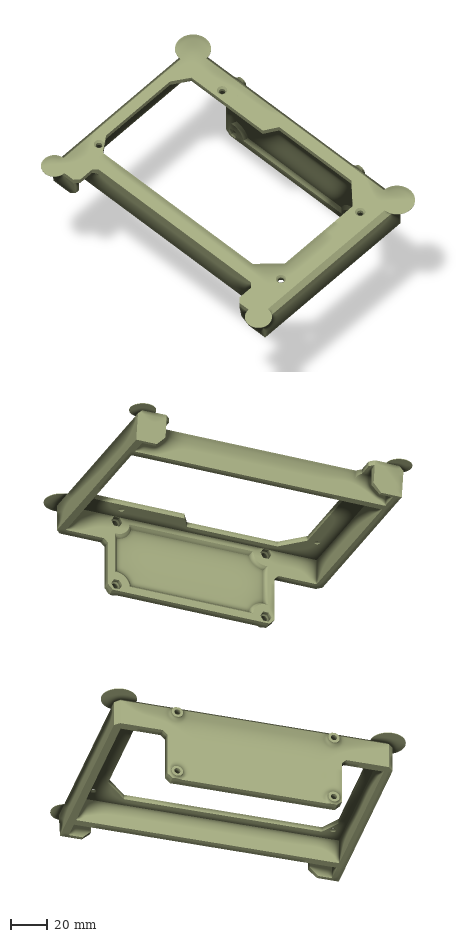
import cadquery as cq
import math


TOP_HALF_WIDTH = 77.27
TOP_LENGTH = 112.12
EDGE_CHAMFER = 2.85
BODY_HEIGHT = 18.4
PLATE_THICKNESS = 3.0
SIDE_WALL = 4.5
FRONT_WALL = 4.5
BODY_HALF_WIDTH = TOP_HALF_WIDTH + EDGE_CHAMFER
INNER_HALF_WIDTH = BODY_HALF_WIDTH - SIDE_WALL
REAR_FACE_Y = EDGE_CHAMFER
FRONT_FACE_Y = -TOP_LENGTH

NOTCH_FACE_Y = -97.3
LEG_EDGE_X = 60.3
LEG_CHAMFER = 2.7
LEG_UNDERCUT = 2.5
LEG_FRONT_WALL = 4.5
NOTCH_FILLET = 2.6
LEG_WALL_X = LEG_EDGE_X + LEG_UNDERCUT
LEG_FOOT_CHAMFER = 4.9
LEG_FRONT_LEAN = 2.4

WINDOW_LEFT = -70.9
WINDOW_RIGHT = 62.4
WINDOW_FRONT = -87.2
WINDOW_REAR = -7.4
WINDOW_REAR_LEFT = -15.4
LEFT_CORNER = (6.8, 10.1)
RIGHT_CORNER = (12.8, 12.6)
STEP_LEFT_X = -10.0
STEP_RIGHT_X = -5.0

HOLE_DIAMETER = 3.5
COUNTERSINK_DIAMETER = 5.7
COUNTERSINK_ANGLE = 90
PLATE_HOLES = [(-45.7, -10.2), (68.2, -20.0), (-69.7, -84.2), (68.2, -84.2)]

PANEL_BOTTOM_Z = -50.0
PANEL_HALF_WIDTH = 50.25
PANEL_THICKNESS = 5.0
PANEL_FLARE = 2.4
PANEL_CORNER = 3.0
PANEL_FACE_Y = REAR_FACE_Y - PANEL_THICKNESS
PANEL_HOLE_HALF_PITCH_X = 45.0
PANEL_HOLE_HALF_PITCH_Z = 20.0
PANEL_CENTRE_Z = -26.0
NUT_ACROSS_FLATS = 5.7
NUT_DEPTH = 2.5
POCKET_DEPTH = 2.0
POCKET_HALF_WIDTH = 46.1
POCKET_HALF_HEIGHT = 19.8
POCKET_CORNER_RADIUS = 7.75

BOSS_DIAMETER = 6.6
BOSS_HEIGHT = 2.1

DISC_THICKNESS = 0.3
REAR_DISC_RADIUS = 10.0
FRONT_DISC_RADIUS = 7.5


def box(x_range, y_range, z_range):
    """Axis-aligned box between pairs of limits."""
    size = [high - low for low, high in (x_range, y_range, z_range)]
    return cq.Workplane("XY").box(*size, centered=False).translate((x_range[0], y_range[0], z_range[0]))


def make_body():
    """Block with bevelled rear corners and upper side and rear edges, hollowed from below."""
    body = box((-BODY_HALF_WIDTH, BODY_HALF_WIDTH), (FRONT_FACE_Y, REAR_FACE_Y), (-BODY_HEIGHT, 0))
    body = body.faces(">Y").edges("|Z").chamfer(EDGE_CHAMFER)
    body = body.faces(">Z").edges("not <Y").chamfer(EDGE_CHAMFER)
    cavity = box(
        (-INNER_HALF_WIDTH, INNER_HALF_WIDTH),
        (NOTCH_FACE_Y + FRONT_WALL, PANEL_FACE_Y),
        (-BODY_HEIGHT, -PLATE_THICKNESS),
    )
    return body.cut(cavity)


def make_notch():
    """Full-height space between the legs, following the plate edge."""
    half = [
        (LEG_EDGE_X - LEG_CHAMFER, NOTCH_FACE_Y),
        (LEG_EDGE_X, NOTCH_FACE_Y - LEG_CHAMFER),
        (LEG_EDGE_X, FRONT_FACE_Y + LEG_CHAMFER),
        (LEG_EDGE_X + LEG_CHAMFER, FRONT_FACE_Y),
    ]
    mirrored = [(-x, y) for x, y in reversed(half)]
    return cq.Workplane("XY").polyline(half + mirrored).close().extrude(-BODY_HEIGHT)


def make_leg_pockets():
    """Space behind the leg fronts, open downward and rounded between notch wall and plate."""
    space = box(
        (-INNER_HALF_WIDTH, INNER_HALF_WIDTH),
        (FRONT_FACE_Y + LEG_FRONT_WALL, NOTCH_FACE_Y),
        (-BODY_HEIGHT, -PLATE_THICKNESS),
    )
    return space.faces(">Z").edges(">Y").fillet(NOTCH_FILLET)


def make_leg_gap():
    """Gap between the leg fronts below the plate, widened at their feet."""
    foot_x = LEG_WALL_X + LEG_FOOT_CHAMFER
    half = [
        (LEG_WALL_X, -PLATE_THICKNESS),
        (LEG_WALL_X, -BODY_HEIGHT + LEG_FOOT_CHAMFER),
        (foot_x, -BODY_HEIGHT),
    ]
    mirrored = [(-x, z) for x, z in reversed(half)]
    front = cq.Workplane("XZ", origin=(0, FRONT_FACE_Y, 0))
    return front.polyline(half + mirrored).close().extrude(-LEG_FRONT_WALL)


def make_front_lean():
    """Wedge that tilts the leg fronts below the plate."""
    profile = [
        (FRONT_FACE_Y, -PLATE_THICKNESS),
        (FRONT_FACE_Y, -BODY_HEIGHT),
        (FRONT_FACE_Y + LEG_FRONT_LEAN, -BODY_HEIGHT),
    ]
    return cq.Workplane("YZ").polyline(profile).close().extrude(BODY_HALF_WIDTH, both=True)


def make_window():
    """Opening in the plate with cut corners and a step in its rear side."""
    outline = [
        (WINDOW_LEFT, WINDOW_FRONT + LEFT_CORNER[1]),
        (WINDOW_LEFT + LEFT_CORNER[0], WINDOW_FRONT),
        (WINDOW_RIGHT - RIGHT_CORNER[0], WINDOW_FRONT),
        (WINDOW_RIGHT, WINDOW_FRONT + RIGHT_CORNER[1]),
        (WINDOW_RIGHT, WINDOW_REAR - RIGHT_CORNER[1]),
        (WINDOW_RIGHT - RIGHT_CORNER[0], WINDOW_REAR),
        (STEP_RIGHT_X, WINDOW_REAR),
        (STEP_LEFT_X, WINDOW_REAR_LEFT),
        (WINDOW_LEFT + LEFT_CORNER[0], WINDOW_REAR_LEFT),
        (WINDOW_LEFT, WINDOW_REAR_LEFT - LEFT_CORNER[1]),
    ]
    return cq.Workplane("XY").polyline(outline).close().extrude(-PLATE_THICKNESS)


def make_panel():
    """Plate hanging below the rear wall, flared into the body and cut at its lower corners."""
    half = [
        (PANEL_HALF_WIDTH + PANEL_FLARE, -BODY_HEIGHT),
        (PANEL_HALF_WIDTH, -BODY_HEIGHT - PANEL_FLARE),
        (PANEL_HALF_WIDTH, PANEL_BOTTOM_Z + PANEL_CORNER),
        (PANEL_HALF_WIDTH - PANEL_CORNER, PANEL_BOTTOM_Z),
    ]
    mirrored = [(-x, z) for x, z in reversed(half)]
    rear = cq.Workplane("XZ", origin=(0, REAR_FACE_Y, 0))
    return rear.polyline(half + mirrored).close().extrude(PANEL_THICKNESS)


def panel_hole_centres():
    """X and Z of the four panel holes."""
    signs = (-1, 1)
    return [
        (sx * PANEL_HOLE_HALF_PITCH_X, PANEL_CENTRE_Z + sz * PANEL_HOLE_HALF_PITCH_Z)
        for sx in signs
        for sz in signs
    ]


def make_pocket():
    """Shallow recess in the panel with sloping sides that leaves round pads at the holes."""
    panel_face = cq.Workplane("XZ", origin=(0, PANEL_FACE_Y, PANEL_CENTRE_Z))
    pocket = panel_face.rect(2 * POCKET_HALF_WIDTH, 2 * POCKET_HALF_HEIGHT).extrude(-POCKET_DEPTH, taper=45)
    for x, z in panel_hole_centres():
        pad = cq.Solid.makeCone(
            POCKET_CORNER_RADIUS,
            POCKET_CORNER_RADIUS + POCKET_DEPTH,
            POCKET_DEPTH,
            pnt=cq.Vector(x, PANEL_FACE_Y, z),
            dir=cq.Vector(0, 1, 0),
        )
        pocket = pocket.cut(cq.Workplane(pad))
    return pocket


def make_bosses():
    """Round bosses behind the panel holes, their flared feet trimmed to the flat rear face."""
    radius = BOSS_DIAMETER / 2
    foot_radius = radius + BOSS_HEIGHT
    middle = BOSS_HEIGHT * (1 - math.sqrt(0.5))
    profile = (
        cq.Workplane("XY")
        .lineTo(foot_radius, 0)
        .threePointArc((radius + middle, middle), (radius, BOSS_HEIGHT))
        .lineTo(0, BOSS_HEIGHT)
        .close()
    )
    boss = profile.revolve(360, (0, 0, 0), (0, 1, 0))
    flat_face = box(
        (-PANEL_HALF_WIDTH, PANEL_HALF_WIDTH),
        (REAR_FACE_Y, REAR_FACE_Y + BOSS_HEIGHT),
        (PANEL_BOTTOM_Z, -EDGE_CHAMFER),
    )
    flat_face = flat_face.faces("<Z").edges("|Y").chamfer(PANEL_CORNER)
    bosses = cq.Workplane("XY")
    for x, z in panel_hole_centres():
        bosses = bosses.add(boss.translate((x, REAR_FACE_Y, z)))
    return bosses.combine().intersect(flat_face)


def make_discs():
    """Thin discs flush with the top face, centred on its four outer corners."""
    discs = cq.Workplane("XY")
    for y, radius in ((0, REAR_DISC_RADIUS), (FRONT_FACE_Y, FRONT_DISC_RADIUS)):
        for x in (-TOP_HALF_WIDTH, TOP_HALF_WIDTH):
            discs = discs.add(cq.Workplane("XY").center(x, y).circle(radius).extrude(-DISC_THICKNESS))
    return discs.combine()


def drill_plate_holes(part):
    """Countersunk holes down through the plate."""
    plate_face = part.copyWorkplane(cq.Workplane("XY")).pushPoints(PLATE_HOLES)
    return plate_face.cskHole(HOLE_DIAMETER, COUNTERSINK_DIAMETER, COUNTERSINK_ANGLE, depth=PLATE_THICKNESS)


def make_panel_holes():
    """Holes through the panel and its bosses, with hexagonal nut seats in the front face."""
    panel_face = cq.Workplane("XZ", origin=(0, PANEL_FACE_Y, 0)).pushPoints(panel_hole_centres())
    seat_across_corners = NUT_ACROSS_FLATS / math.cos(math.pi / 6)
    seats = panel_face.polygon(6, seat_across_corners).extrude(-NUT_DEPTH)
    bores = panel_face.circle(HOLE_DIAMETER / 2).extrude(-PANEL_THICKNESS - BOSS_HEIGHT)
    return seats.union(bores)


result = (
    make_body()
    .cut(make_notch())
    .cut(make_leg_pockets())
    .cut(make_leg_gap())
    .cut(make_front_lean())
    .cut(make_window())
    .union(make_panel())
    .cut(make_pocket())
    .union(make_bosses())
    .cut(make_panel_holes())
    .union(make_discs())
)
result = drill_plate_holes(result)